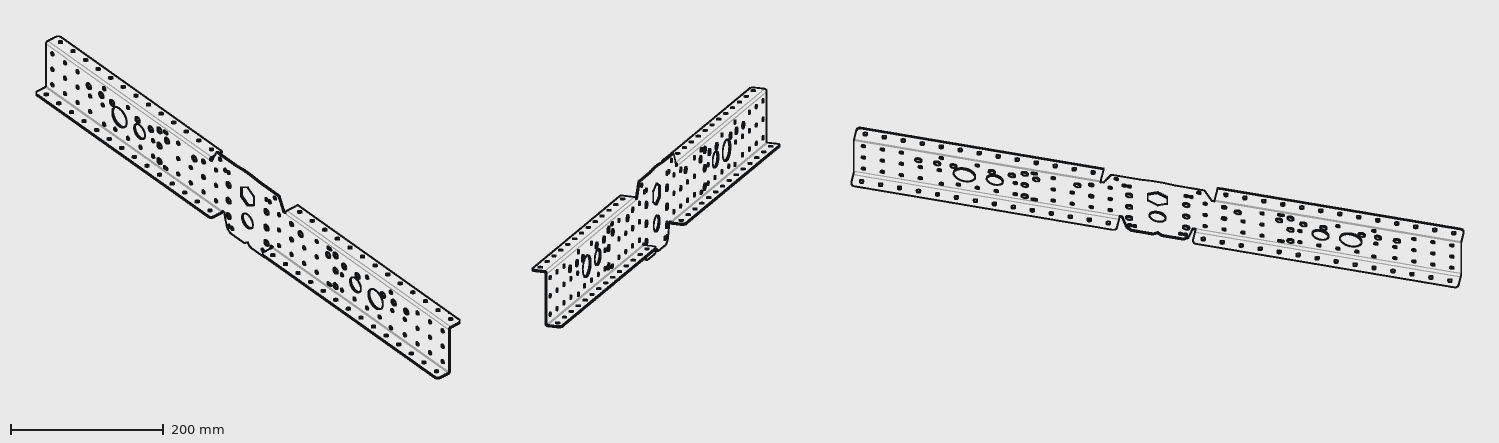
import cadquery as cq
import math

length = 813.0
grid_pitch = length / 32
web_height = 3 * grid_pitch
overall_depth = 41.5
thickness = 2.3
bend_radius = 1.0
flange_corner_radius = 5.0

half_length = length / 2
half_web = web_height / 2
half_thickness = thickness / 2
outer_radius = bend_radius + thickness
bend_start = half_web - outer_radius

upper_flange_end = 3 * grid_pitch
lower_flange_end = 2 * grid_pitch

tab_top = 55.0
tab_bottom = -62.0
crown_height = 2.0
crown_half_width = 23.5
notch_depth = 5.0
notch_half_width = 6.0
upper_tab_half_width = 62.5
upper_tab_foot = 72.0
lower_tab_foot = 47.0
lower_tab_side = (41.5, -56.0)
lower_tab_half_width = 35.0

small_hole = 5.0
mid_hole = 6.5
medium_hole = 9.0
bore = 22.0
large_bore = 29.0
hex_across_flats = 26.0
slot_length = 8.0
slot_width = 4.0

small_columns = {
    1: [2.5, 5.5, 9.5, 13.5, 14.5, 15.5],
    0: [2.5, 4.5, 5.5, 7.5, 11.5, 12.5, 13.5, 14.5, 15.5],
    -1: [2.5, 3.5, 4.5, 5.5, 7.5, 8.5, 9.5, 10.5, 12.5, 13.5, 14.5, 15.5],
}

large_hole_drop = 1.0
mid_column = 3.5 * grid_pitch
medium_column = 7 * grid_pitch

medium_points = [
    (320.0, 15.0), (295.0, 15.0), (273.0, 15.0),
    (222.0, 16.0), (195.0, 16.0), (162.5, 16.0), (107.0, 19.0),
    (38.0, 15.5), (38.0, -10.5), (38.0, -36.0),
]
lone_small_points = [(55.0, 48.0), (289.0, 28.5), (289.0, -30.0)]
slot_points = [(165.0, 28.5), (165.0, -30.0)]
pair_centres = [(41.5, 36.0), (34.0, -52.0)]
pair_spacing = 6.5
bore_x = 218.0
large_bore_x = 258.5

centre_bore_z = -22.0
hexagon_z = 19.0

upper_flange_row_y = 13.0
lower_flange_row_y = -11.0
last_column = 15.5


def mirrored(points):
    return points + [(-x, other) for x, other in points]


def web_blank():
    """Flat web and central tab, up to the start of the bends."""
    right_side = [
        (crown_half_width, tab_top),
        (upper_tab_half_width, tab_top),
        (upper_tab_foot, bend_start),
        (half_length, bend_start),
        (half_length, -bend_start),
        (lower_tab_foot, -bend_start),
        lower_tab_side,
        (lower_tab_half_width, tab_bottom),
        (notch_half_width, tab_bottom),
    ]
    notch_tip = (0, tab_bottom + notch_depth)
    left_side = [(-x, z) for x, z in reversed(right_side)]
    outline = (
        cq.Workplane("XZ")
        .polyline(right_side + [notch_tip] + left_side)
        .threePointArc((0, tab_top + crown_height), right_side[0])
        .close()
    )
    return outline.extrude(half_thickness, both=True)


def flange(inner_end, rounded_edges):
    """Right-hand upper flange with its bend toward +Y, without holes."""
    tip = overall_depth / 2
    profile = (
        cq.Workplane("YZ", origin=(inner_end, 0, 0))
        .moveTo(-half_thickness, bend_start)
        .radiusArc((outer_radius - half_thickness, half_web), outer_radius)
        .lineTo(tip, half_web)
        .lineTo(tip, half_web - thickness)
        .lineTo(half_thickness + bend_radius, half_web - thickness)
        .radiusArc((half_thickness, bend_start), -bend_radius)
        .close()
    )
    body = profile.extrude(half_length - inner_end)
    return body.edges(rounded_edges).fillet(flange_corner_radius)


def web_holes(diameter, points):
    """Round cutters through the web at the given points and their mirror images."""
    sketch = cq.Workplane("XZ").pushPoints(mirrored(points)).circle(diameter / 2)
    return sketch.extrude(thickness, both=True)


def web_slots():
    sketch = cq.Workplane("XZ").pushPoints(mirrored(slot_points)).slot2D(slot_length, slot_width)
    return sketch.extrude(thickness, both=True)


def centre_bore():
    sketch = cq.Workplane("XZ").center(0, centre_bore_z).circle(bore / 2)
    return sketch.extrude(thickness, both=True)


def hexagon_window():
    """Hexagon with corners at top and bottom."""
    corner_radius = hex_across_flats / 2 / math.cos(math.pi / 6)
    corners = []
    for i in range(6):
        angle = math.radians(90 + 60 * i)
        corners.append((corner_radius * math.cos(angle), hexagon_z + corner_radius * math.sin(angle)))
    return cq.Workplane("XZ").polyline(corners).close().extrude(thickness, both=True)


def flange_holes(first_column, row_y, flange_z):
    """One row of cutters through a pair of flanges, one per grid column."""
    count = int(last_column - first_column) + 1
    points = [((first_column + i) * grid_pitch, row_y) for i in range(count)]
    sketch = (
        cq.Workplane("XY", origin=(0, 0, flange_z))
        .pushPoints(mirrored(points))
        .circle(small_hole / 2)
    )
    return sketch.extrude(2 * thickness, both=True)


upper_flange = flange(upper_flange_end, "|Z and >Y and >X")
lower_flange = flange(lower_flange_end, "|Z and >Y").rotate((0, 0, 0), (1, 0, 0), 180)
result = web_blank()
for right_flange in (upper_flange, lower_flange):
    result = result.union(right_flange).union(right_flange.mirror("YZ"))

small_points = list(lone_small_points)
for row, columns in small_columns.items():
    small_points += [(column * grid_pitch, row * grid_pitch) for column in columns]
for x, z in pair_centres:
    small_points += [(x - pair_spacing / 2, z), (x + pair_spacing / 2, z)]

mid_points = [(mid_column, row * grid_pitch - large_hole_drop) for row in (0, 1)]
column_points = [(medium_column, row * grid_pitch - large_hole_drop) for row in (-1, 0, 1)]

cutters = [
    web_holes(small_hole, small_points),
    web_holes(mid_hole, mid_points),
    web_holes(medium_hole, medium_points + column_points),
    web_holes(bore, [(bore_x, -large_hole_drop)]),
    web_holes(large_bore, [(large_bore_x, -large_hole_drop)]),
    web_slots(),
    centre_bore(),
    hexagon_window(),
    flange_holes(3.5, upper_flange_row_y, half_web),
    flange_holes(2.5, lower_flange_row_y, -half_web),
]
for cutter in cutters:
    result = result.cut(cutter)